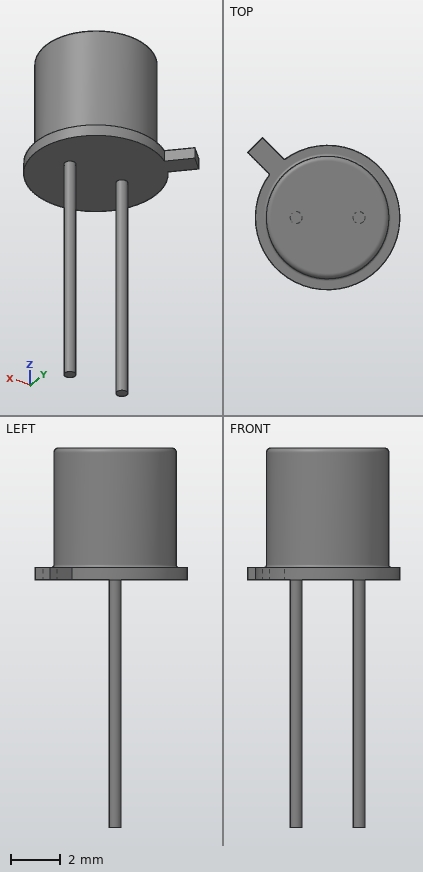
import cadquery as cq
import math

flange_diameter = 5.84
flange_thickness = 0.5
can_diameter = 4.95
can_top = 5.33
can_top_fillet = 0.2
can_foot_fillet = 0.1

overall_width = 6.15
tab_width = 0.85
tab_angle = 135

lead_diameter = 0.48
lead_length = 10.0
lead_spacing = 2.54

tab_corner_offset = overall_width - flange_diameter / 2
tab_reach = tab_corner_offset * math.sqrt(2) - tab_width / 2


def make_can():
    """Flange and can as one revolved profile, rounded at the top and flared at the foot."""
    flange_radius = flange_diameter / 2
    can_radius = can_diameter / 2
    profile = (
        cq.Workplane("XZ")
        .lineTo(flange_radius, 0)
        .lineTo(flange_radius, flange_thickness)
        .lineTo(can_radius + can_foot_fillet, flange_thickness)
        .radiusArc((can_radius, flange_thickness + can_foot_fillet), can_foot_fillet)
        .lineTo(can_radius, can_top - can_top_fillet)
        .radiusArc((can_radius - can_top_fillet, can_top), -can_top_fillet)
        .lineTo(0, can_top)
        .close()
    )
    return profile.revolve(360, (0, 0, 0), (0, 1, 0))


def make_tab():
    """Flat tab as thick as the flange, running from the can axis to its outer end."""
    tab = cq.Workplane("XY").box(tab_reach, tab_width, flange_thickness, centered=(False, True, False))
    return tab.rotate((0, 0, 0), (0, 0, 1), tab_angle)


def make_leads():
    """Two round leads hanging below the flange, side by side along X."""
    return (
        cq.Workplane("XY")
        .rarray(lead_spacing, 1, 2, 1)
        .circle(lead_diameter / 2)
        .extrude(-lead_length)
    )


result = make_can().union(make_tab()).union(make_leads())